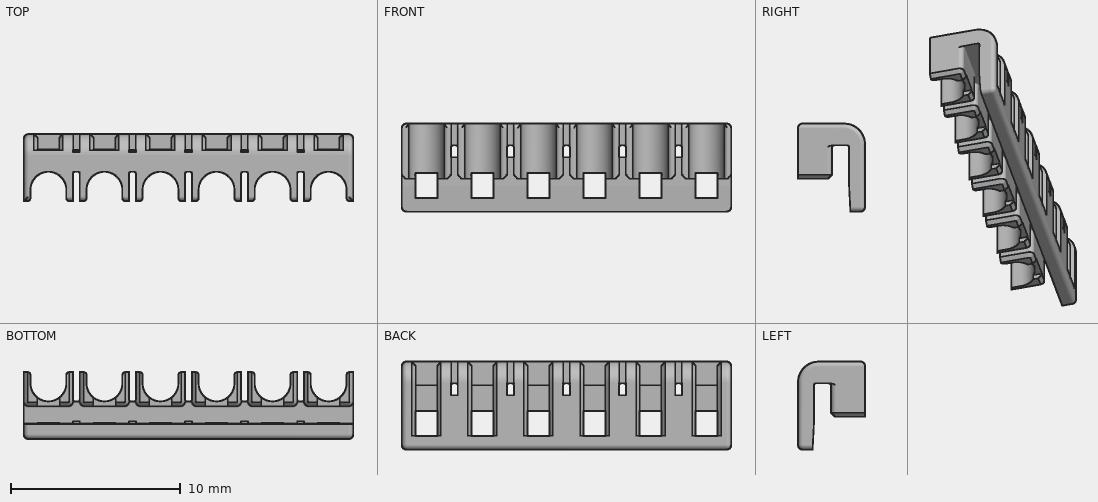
import cadquery as cq
import math

length = 19.4
depth = 3.95
height = 5.2

plate_thickness = 0.95
plate_foot_thickness = 0.87
taper_start = 3.69
roof_thickness = 1.3
bend_radius = 1.25
edge_radius = 0.3
inner_radius = 0.1

sleeve_count = 6
gap_width = 0.39
sleeve_width = (length - (sleeve_count - 1) * gap_width) / sleeve_count
pitch = sleeve_width + gap_width
sleeve_height = 3.25
sleeve_depth = 2.02
sleeve_chamfer = 0.23
bore_radius = 1.05
rear_wall = 0.3
mouth_radius = 0.2

window_width = 1.28
window_bottom = 4.38
notch_width = 1.32
notch_top = 2.93
window_chamfer = 0.21
slit_bottom = 1.98

plate_front = depth - plate_thickness
arc_inset = 1 - math.sqrt(0.5)
bend_mid = bend_radius * arc_inset
cavity_rear = sleeve_depth - rear_wall
bore_center = cavity_rear - bore_radius
sleeve_centers = [(i - (sleeve_count - 1) / 2) * pitch for i in range(sleeve_count)]
gap_centers = [x + pitch / 2 for x in sleeve_centers[:-1]]
tolerance = 0.002


def block(x_center, width, y_front, y_rear, z_bottom, z_top):
    """Box centred on x_center between the given Y and Z limits."""
    size = (width, y_rear - y_front, z_top - z_bottom)
    corner = (x_center - width / 2, y_front, z_bottom)
    return cq.Workplane("XY").box(*size, centered=False).translate(corner)


def make_body():
    """Roof and tapered rear plate, rounded along the ends, the rear and the front top edge."""
    body = (
        cq.Workplane("YZ", origin=(-length / 2, 0, 0))
        .moveTo(0, 0)
        .lineTo(depth - bend_radius, 0)
        .threePointArc((depth - bend_mid, -bend_mid), (depth, -bend_radius))
        .lineTo(depth, -height)
        .lineTo(depth - plate_foot_thickness, -height)
        .lineTo(plate_front, -taper_start)
        .lineTo(plate_front, -roof_thickness)
        .lineTo(0, -roof_thickness)
        .close()
        .extrude(length)
    )
    end_edges = body.faces("<X or >X").edges(">Z or >Y or <Z or %CIRCLE")
    rim = end_edges.add(body.faces(">Y").edges("<Z")).add(body.faces("<Y").edges(">Z"))
    inner_corner = cq.selectors.NearestToPointSelector((0, plate_front, -roof_thickness))
    return rim.fillet(edge_radius).edges(inner_corner).fillet(inner_radius)


def make_sleeve(x_center):
    """Solid sleeve blank with rounded rear corners and chamfered lower side and rear edges."""
    blank = block(x_center, sleeve_width, 0, sleeve_depth, -sleeve_height, -roof_thickness)
    blank = blank.edges("|Z and >Y").fillet(edge_radius)
    return blank.faces("<Z").edges("not <Y").chamfer(sleeve_chamfer)


def make_bore(x_center):
    """U-shaped cutter, open to the front, with a mouth that flares along rounded lips."""
    lip = mouth_radius * arc_inset
    mouth_half = bore_radius + mouth_radius
    return (
        cq.Workplane("XY", origin=(x_center, 0, -sleeve_height))
        .moveTo(-mouth_half, 0)
        .threePointArc((-bore_radius - lip, lip), (-bore_radius, mouth_radius))
        .lineTo(-bore_radius, bore_center)
        .threePointArc((0, cavity_rear), (bore_radius, bore_center))
        .lineTo(bore_radius, mouth_radius)
        .threePointArc((bore_radius + lip, lip), (mouth_half, 0))
        .close()
        .extrude(sleeve_height)
    )


def make_gap(x_center):
    """Full-height cutter for the gap between two sleeves, with rounded rear corners."""
    gap = block(x_center, gap_width, 0, cavity_rear, -sleeve_height, 0)
    return gap.edges("|Z and >Y").fillet(inner_radius)


def make_slit(x_center):
    """Slit cutter for the plate behind a gap, open at the top, clearing the inner corner fillet."""
    return block(x_center, gap_width, plate_front - inner_radius, depth, -slit_bottom, 0)


def make_notch(x_center):
    """Cutter for the lower end of a sleeve's rear wall, in front of a window."""
    return block(x_center, notch_width, bore_center, plate_front, -sleeve_height, -notch_top)


def cut_windows(body):
    """Plate windows open at the top, with chamfered side edges on the outer skin."""
    for x in sleeve_centers:
        body = body.cut(block(x, window_width, plate_front, depth, -window_bottom, 0))
    side_positions = [x + side * window_width / 2 for x in sleeve_centers for side in (-1, 1)]
    for x in side_positions:
        side_edges = body.edges(
            cq.selectors.BoxSelector(
                (x - tolerance, depth - bend_mid, -window_bottom + tolerance),
                (x + tolerance, depth + tolerance, 0),
            )
        )
        body = side_edges.chamfer(window_chamfer)
    return body


def round_sleeve_root(body, x_center):
    """Small fillet where the rear and sides of one sleeve meet the roof."""
    half_width = sleeve_width / 2 + tolerance
    root_edges = body.edges(
        cq.selectors.BoxSelector(
            (x_center - half_width, tolerance, -roof_thickness - tolerance),
            (x_center + half_width, sleeve_depth + tolerance, -roof_thickness + tolerance),
        )
    )
    return root_edges.fillet(inner_radius)


result = cut_windows(make_body())
for x in sleeve_centers:
    result = result.union(make_sleeve(x))
for x in sleeve_centers:
    result = round_sleeve_root(result, x)
for x in gap_centers:
    result = result.cut(make_gap(x))
    result = result.cut(make_slit(x))
for x in sleeve_centers:
    result = result.cut(make_bore(x))
    result = result.cut(make_notch(x))